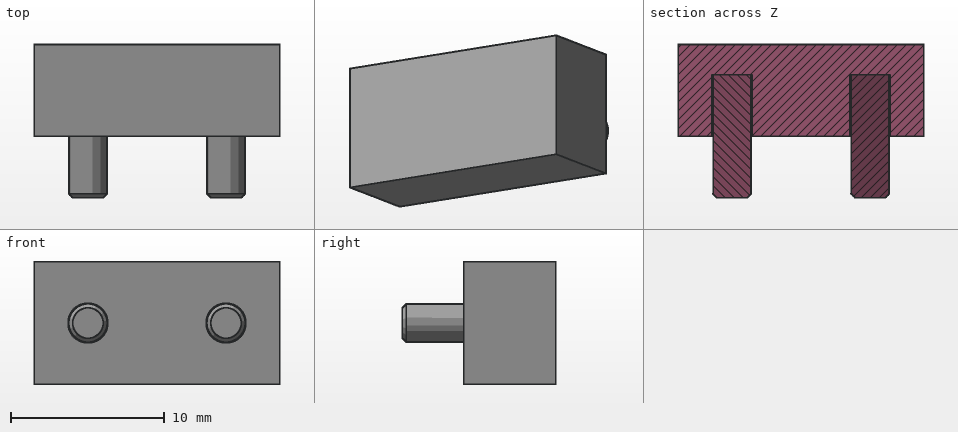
import cadquery as cq

block_length = 16.0
block_depth = 6.0
block_height = 8.0
front_face_y = -block_depth / 2

pin_diameter = 2.5
pin_protrusion = 4.0
pin_chamfer = 0.25
pin_spacing = 9.0
pin_positions = [side * pin_spacing / 2 for side in (-1, 1)]

radial_clearance = 0.05
hole_diameter = pin_diameter + 2 * radial_clearance
hole_depth = pin_protrusion


def make_block():
    """Rectangular block with a blind clearance hole for each pin."""
    block = cq.Workplane("XY").box(block_length, block_depth, block_height)
    holes = (
        cq.Workplane("XZ", origin=(0, front_face_y, 0))
        .pushPoints([(x, 0) for x in pin_positions])
        .circle(hole_diameter / 2)
        .extrude(-hole_depth)
    )
    return block.cut(holes)


def make_pin(x):
    """Round pin along Y, from the hole floor to its chamfered free end."""
    radius = pin_diameter / 2
    floor_y = front_face_y + hole_depth
    tip_y = front_face_y - pin_protrusion
    half_profile = (
        cq.Workplane("XY", origin=(x, 0, 0))
        .moveTo(0, floor_y)
        .lineTo(radius, floor_y)
        .lineTo(radius, tip_y + pin_chamfer)
        .lineTo(radius - pin_chamfer, tip_y)
        .lineTo(0, tip_y)
        .close()
    )
    return half_profile.revolve(360, (0, 0, 0), (0, 1, 0))


block = make_block()
pins = [make_pin(x) for x in pin_positions]

result = cq.Compound.makeCompound([block.val(), *[pin.val() for pin in pins]])